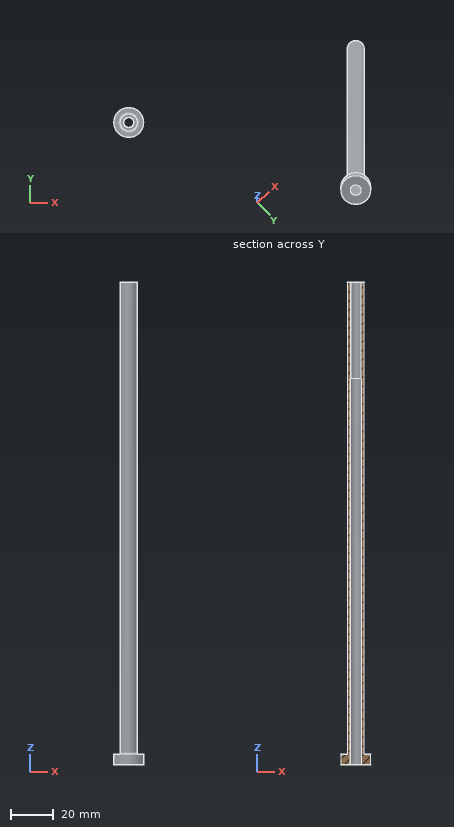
import cadquery as cq

total_length = 225.0
head_diameter = 14.0
head_height = 5.0
shaft_diameter = 8.0
neck_fillet_radius = 0.5
guide_bore_diameter = 4.5
guide_length = 45.0
relief_bore_diameter = 5.0

head_radius = head_diameter / 2
shaft_radius = shaft_diameter / 2
guide_radius = guide_bore_diameter / 2
relief_radius = relief_bore_diameter / 2
relief_depth = total_length - guide_length


def sleeve_profile():
    """Half section of the sleeve wall in the XZ plane (local y is Z)."""
    fillet_end_radius = shaft_radius + neck_fillet_radius
    fillet_top = head_height + neck_fillet_radius
    return (
        cq.Workplane("XZ")
        .moveTo(relief_radius, 0)
        .lineTo(head_radius, 0)
        .lineTo(head_radius, head_height)
        .lineTo(fillet_end_radius, head_height)
        .radiusArc((shaft_radius, fillet_top), neck_fillet_radius)
        .lineTo(shaft_radius, total_length)
        .lineTo(guide_radius, total_length)
        .lineTo(guide_radius, relief_depth)
        .lineTo(relief_radius, relief_depth)
        .close()
    )


result = sleeve_profile().revolve(360, (0, 0, 0), (0, 1, 0))